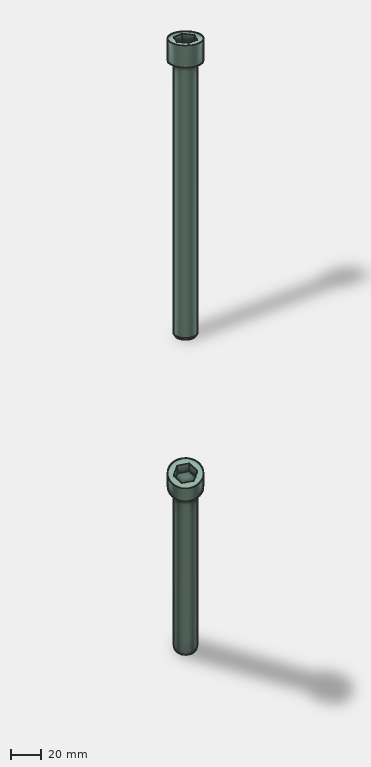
import cadquery as cq
import math

total_length = 216.0
shank_diameter = 16.0
head_diameter = 24.0
head_height = shank_diameter
tip_chamfer_height = 2.2
tip_chamfer_inset = 1.7
socket_across_flats = 14.0
socket_depth = 9.7

shank_radius = shank_diameter / 2
head_radius = head_diameter / 2
head_bottom = total_length - head_height
socket_across_corners = socket_across_flats / math.cos(math.pi / 6)


def make_body():
    """Head, shank and chamfered tip, revolved about the Z axis with the tip at Z = 0."""
    half_profile = (
        cq.Workplane("XZ")
        .moveTo(0, 0)
        .lineTo(shank_radius - tip_chamfer_inset, 0)
        .lineTo(shank_radius, tip_chamfer_height)
        .lineTo(shank_radius, head_bottom)
        .lineTo(head_radius, head_bottom)
        .lineTo(head_radius, total_length)
        .lineTo(0, total_length)
        .close()
    )
    return half_profile.revolve(360, (0, 0, 0), (0, 1, 0))


def make_socket():
    """Hexagonal drive recess with two corners on the X axis."""
    socket = cq.Workplane("XY").workplane(offset=total_length - socket_depth)
    return socket.polygon(6, socket_across_corners).extrude(socket_depth)


result = make_body().cut(make_socket())